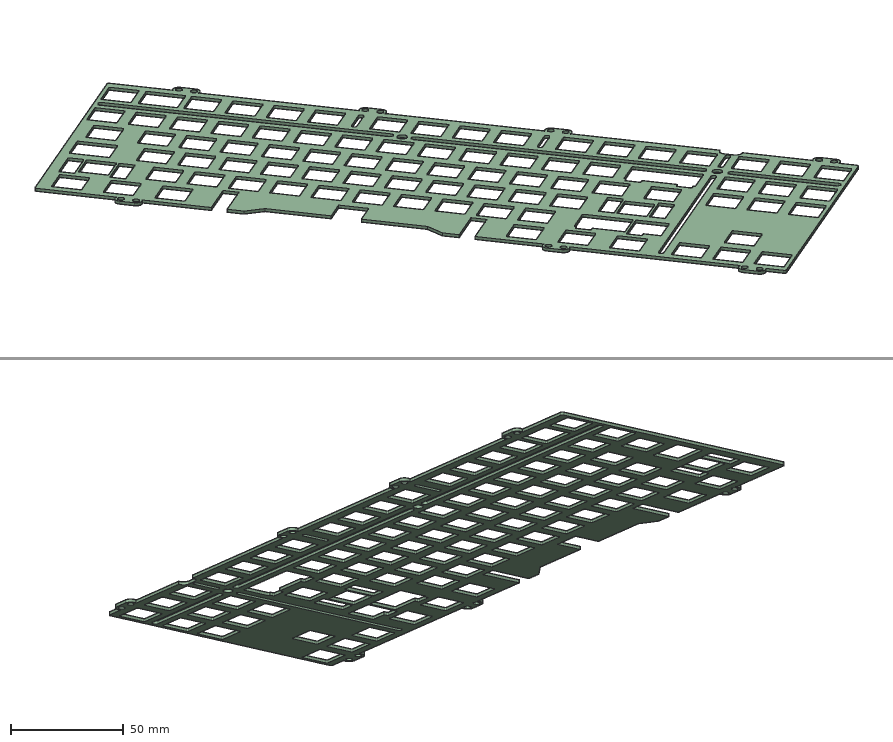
import math

import cadquery as cq

plate_length = 346.5
plate_width = 122.0
plate_width_over_tabs = 130.0
plate_thickness = 1.5
plate_corner_radius = 1.0

pitch = 19.0
columns = 18.25
first_column, last_main_column = 0.5, 14.5
first_nav_column, last_nav_column = 15.75, 17.75
backspace_column, enter_column = 14, 13.875
left_shift_column, right_shift_column = 1.125, 13.625
space_row_y = -50.3
function_row, number_row, tab_row, caps_row, shift_row, space_row = 5.24, 4, 3, 2, 1, 0

switch_size = 14.0
switch_half = switch_size / 2
cut_corner_radius = 0.52

stabiliser_offset = 11.8
stabiliser_width = 7.3
stabiliser_long_side = 9.0
stabiliser_short_side = 7.0

slot_width = 3.0
narrow_slot_width = 2.5
left_slot_rise = 0.5
relief_hole_diameter = 4.5
relief_hole_column = 7.5
relief_hole_gap = 4.0
block_gap_column = 15.125

notch_width = 10.5
notch_depth = 3.5
notch_radius = 3.0

space_column = 7.5
space_stabiliser_column_offset = 3
recess_depth = 5.2
recess_inner_half = 37.5
recess_outer_half = 45.8

tab_radius = 2.8
tab_centre_y = plate_width_over_tabs / 2 - tab_radius
tab_hole_diameter = 3.0
tab_hole_offset = 3.5
back_tabs = (-137.3, -51.3, 34.3, 158.0)
front_tabs = (-129.5, 67.5, 158.0)


def key_x(column):
    return (column - columns / 2) * pitch


def key_y(row):
    return space_row_y + row * pitch


def column_run(first, count):
    return [first + i for i in range(count)]


def box_between(x_min, x_max, y_min, y_max):
    return (
        cq.Workplane("XY")
        .center((x_min + x_max) / 2, (y_min + y_max) / 2)
        .rect(x_max - x_min, y_max - y_min)
        .extrude(plate_thickness)
    )


def rounded_cut(x_min, x_max, y_min, y_max):
    return box_between(x_min, x_max, y_min, y_max).edges("|Z").fillet(cut_corner_radius)


def switch_cut(row, left_column, right_column=None):
    """Square opening, stretched when a key can sit at two columns."""
    if right_column is None:
        right_column = left_column
    return rounded_cut(
        key_x(left_column) - switch_half,
        key_x(right_column) + switch_half,
        key_y(row) - switch_half,
        key_y(row) + switch_half,
    )


def stabiliser_cuts(row, column, flipped=False):
    """Pair of openings either side of a wide key; flipped puts the long side above."""
    below, above = stabiliser_long_side, stabiliser_short_side
    if flipped:
        below, above = above, below
    cuts = []
    for side in (-1, 1):
        x = key_x(column) + side * stabiliser_offset
        cuts.append(
            rounded_cut(
                x - stabiliser_width / 2,
                x + stabiliser_width / 2,
                key_y(row) - below,
                key_y(row) + above,
            )
        )
    return cuts


def horizontal_slot(x_min, x_max, y, rise=0):
    """Round-ended slot whose centre line climbs by rise from left to right."""
    angle = math.degrees(math.atan2(rise, x_max - x_min))
    return (
        cq.Workplane("XY")
        .center((x_min + x_max) / 2, y + rise / 2)
        .slot2D(x_max - x_min, slot_width, angle)
        .extrude(plate_thickness)
    )


def vertical_slot(x, y_min, y_max):
    return (
        cq.Workplane("XY")
        .center(x, (y_min + y_max) / 2)
        .slot2D(y_max - y_min, narrow_slot_width, 90)
        .extrude(plate_thickness)
    )


def mounting_tab(x, side):
    """Round-ended tab that overlaps the plate; side is 1 for the back edge, -1 for the front."""
    tab_y = side * tab_centre_y
    return (
        cq.Workplane("XY")
        .center(x, tab_y)
        .slot2D(2 * (tab_hole_offset + tab_radius), 2 * tab_radius)
        .extrude(plate_thickness)
    )


def mounting_tab_holes(x, side):
    tab_y = side * tab_centre_y
    return (
        cq.Workplane("XY")
        .pushPoints([(x - tab_hole_offset, tab_y), (x + tab_hole_offset, tab_y)])
        .circle(tab_hole_diameter / 2)
        .extrude(plate_thickness)
    )


nav_columns = column_run(first_nav_column, 3)
switch_rows = {
    function_row: (
        [first_column] + column_run(2.5, 4) + column_run(7, 4) + column_run(11.5, 4) + nav_columns
    ),
    number_row: column_run(first_column, 13) + nav_columns,
    tab_row: [0.75] + column_run(2, 12) + [14.25] + nav_columns,
    caps_row: column_run(2.25, 11) + [enter_column],
    shift_row: [left_shift_column] + column_run(2.75, 10) + [last_main_column, nav_columns[1]],
    space_row: [0.75, 2, 3.25, 11.75, 13, 14.25] + nav_columns,
}
cuts = [switch_cut(row, column) for row, row_columns in switch_rows.items() for column in row_columns]

cuts.append(switch_cut(function_row, 1.4, 1.625))
cuts.append(switch_cut(number_row, 13.5, last_main_column))
cuts.append(switch_cut(caps_row, 0.625, 0.875))
cuts.append(switch_cut(shift_row, 13.125, right_shift_column))

cuts += stabiliser_cuts(number_row, backspace_column)
cuts += stabiliser_cuts(caps_row, enter_column, flipped=True)
cuts += stabiliser_cuts(shift_row, left_shift_column)
cuts += stabiliser_cuts(shift_row, right_shift_column)

front_edge = -plate_width / 2
for offset, half_width, reach in (
    (0, switch_half, switch_half),
    (-space_stabiliser_column_offset, stabiliser_width / 2, stabiliser_long_side),
    (space_stabiliser_column_offset, stabiliser_width / 2, stabiliser_long_side),
):
    x = key_x(space_column + offset)
    cuts.append(box_between(x - half_width, x + half_width, front_edge, key_y(space_row) + reach))

space_x = key_x(space_column)
recess_outline = [
    (space_x - recess_outer_half, front_edge),
    (space_x - recess_inner_half, front_edge + recess_depth),
    (space_x + recess_inner_half, front_edge + recess_depth),
    (space_x + recess_outer_half, front_edge),
]
cuts.append(cq.Workplane("XY").polyline(recess_outline).close().extrude(plate_thickness))

gap_y = (key_y(function_row) + key_y(number_row)) / 2
relief_x = key_x(relief_hole_column)
left_slot_start = key_x(first_column) - switch_half
cuts.append(horizontal_slot(left_slot_start, relief_x - relief_hole_gap, gap_y, left_slot_rise))
cuts.append(horizontal_slot(relief_x + relief_hole_gap, key_x(last_main_column) + switch_half, gap_y))
cuts.append(
    horizontal_slot(key_x(first_nav_column) - switch_half, key_x(last_nav_column) + switch_half, gap_y)
)

function_bottom = key_y(function_row) - switch_half
function_top = key_y(function_row) + switch_half
for column in (6.25, 10.75, block_gap_column):
    cuts.append(vertical_slot(key_x(column), function_bottom, function_top))
cuts.append(
    vertical_slot(key_x(block_gap_column), key_y(space_row) - switch_half, key_y(number_row) + switch_half)
)

cuts.append(
    cq.Workplane("XY")
    .pushPoints([(key_x(column), gap_y) for column in (relief_hole_column, block_gap_column)])
    .circle(relief_hole_diameter / 2)
    .extrude(plate_thickness)
)

notch_x = key_x(block_gap_column)
back_edge = plate_width / 2
notch = box_between(
    notch_x - notch_width / 2, notch_x + notch_width / 2, back_edge - notch_depth, back_edge
)
cuts.append(notch.edges("|Z and <Y").fillet(notch_radius))

body = (
    cq.Workplane("XY")
    .rect(plate_length, plate_width)
    .extrude(plate_thickness)
    .edges("|Z")
    .fillet(plate_corner_radius)
)
for side, tab_places in ((1, back_tabs), (-1, front_tabs)):
    for x in tab_places:
        body = body.union(mounting_tab(x, side))
        cuts.append(mounting_tab_holes(x, side))
plate = body.val().cut(*[solid for cut in cuts for solid in cut.vals()])

result = cq.Workplane("XY").newObject([plate.Solids()[0]])